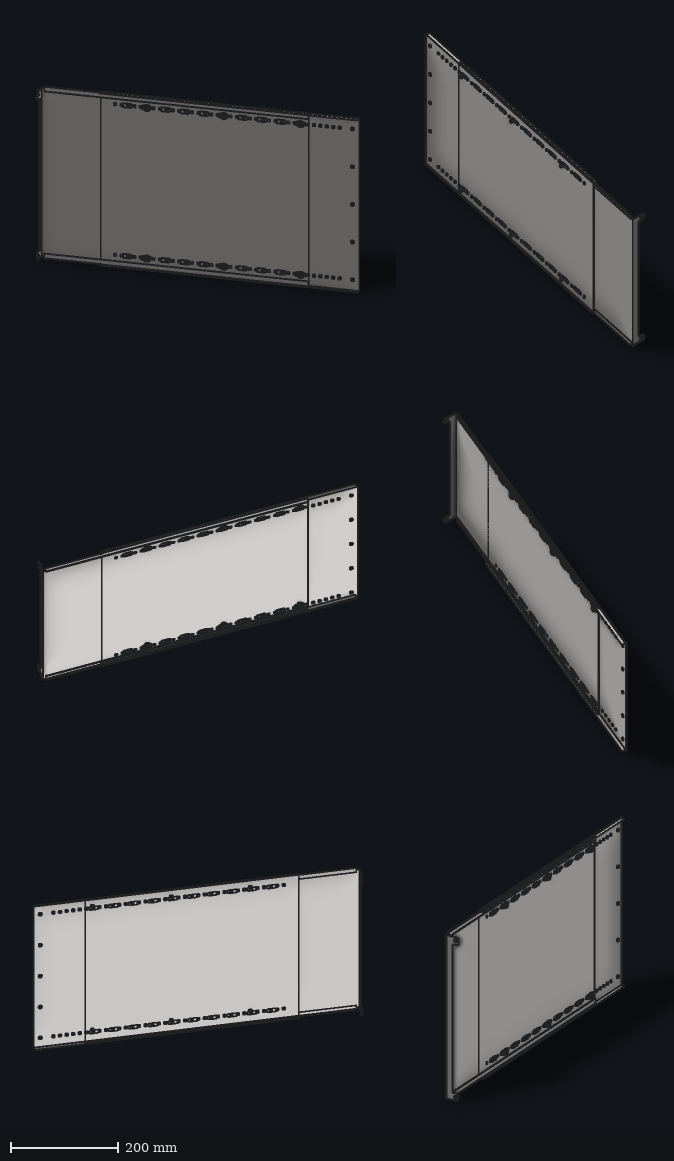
import cadquery as cq
import math

length = 620.0
height = 344.5
sheet = 1.5
half_height = height / 2

end_hole_pitch = 75.0
step = end_hole_pitch / 6
row_z = 2 * end_hole_pitch
end_hole_x = 607.0
first_grid_step = 2
last_grid_step = 37

slot_count = 10
slot_spacing = 3
first_slot_step = 8
slot_steps = [first_slot_step + slot_spacing * k for k in range(slot_count)]
bolt_steps = slot_steps[::4]
slot_length = 19.0
slot_width = 8.0
slot_shift = 2.0

bolt_hole_dia = 6.0
grid_hole_dia = 5.25
end_hole_dia = 6.0

back_left = 116.0
back_flange_depth = 8.5
flange_right_inset = 2.0
flange_end_chamfer = 2.0
flange_edge_round = 1.0

front_right = 522.0
flap_half_height = 167.5
flap_depth = 16.0
hem_left = 7.0
hem_width = 9.0
tab_reach = 30.0
tab_height = 15.5
tab_radius = 5.5
tab_root_radius = 3.0
tab_hole_dia = 7.0
tab_hole_inset = 7.0

shank_dia = bolt_hole_dia
shank_end_y = 6.0
shank_chamfer = 0.9
collar_dia = 12.5
collar_height = 1.0
head_dia = 8.5
head_height = 4.0
socket_size = 4.5
socket_depth = 2.0


def box(x0, x1, y0, y1, z0, z1):
    """A block between two opposite corners."""
    return cq.Workplane("XY").box(x1 - x0, y1 - y0, z1 - z0, centered=False).translate((x0, y0, z0))


def row_points(steps, shift=0):
    """Points at the given grid steps in the upper and the lower row, moved by shift along X."""
    return [(end_hole_x - k * step + shift, side * row_z) for side in (1, -1) for k in steps]


def along_y(y):
    """A workplane at the given y: local x is X, local y is Z, and it faces -Y."""
    return cq.Workplane("XZ", origin=(0, y, 0))


def make_back_flange(side):
    """Long-edge flange toward -Y, with its free corners cut off and its outer free edge rounded."""
    inner = half_height - sheet
    z0, z1 = sorted((side * inner, side * half_height))
    flange = box(back_left, length - flange_right_inset, -back_flange_depth, 0, z0, z1)
    flange = flange.edges("|Z and <Y").chamfer(flange_end_chamfer)
    outer_face = ">Z" if side > 0 else "<Z"
    return flange.faces("<Y").edges(outer_face).fillet(flange_edge_round)


def make_back_panel():
    """Perforated panel with a flange along each long edge."""
    panel = box(back_left, length, -sheet, 0, -half_height, half_height)
    for side in (1, -1):
        panel = panel.union(make_back_flange(side))
    plain_steps = [k for k in range(first_grid_step, last_grid_step + 1) if k not in bolt_steps]
    end_column = [(end_hole_x, k * end_hole_pitch) for k in (-2, -1, 0, 1, 2)]
    for points, diameter in (
        (row_points(bolt_steps), bolt_hole_dia),
        (row_points(plain_steps), grid_hole_dia),
        (end_column, end_hole_dia),
    ):
        panel = panel.cut(along_y(0).pushPoints(points).circle(diameter / 2).extrude(sheet))
    return panel


def make_end_flap():
    """Flap at the left end with a rounded, drilled tab at the top and the bottom."""
    flap = box(0, sheet, -flap_depth, -sheet, -flap_half_height, flap_half_height)
    tab_base = flap_half_height - tab_height
    for side in (1, -1):
        z0, z1 = sorted((side * tab_base, side * flap_half_height))
        tab = box(0, sheet, -tab_reach, -sheet, z0, z1).edges("|X and <Y").fillet(tab_radius)
        hole = (
            cq.Workplane("YZ")
            .center(tab_hole_inset - tab_reach, side * (flap_half_height - tab_hole_inset))
            .circle(tab_hole_dia / 2)
            .extrude(sheet)
        )
        flap = flap.union(tab).cut(hole)
    margin = sheet / 2
    root_box = cq.selectors.BoxSelector(
        (0, -flap_depth - margin, -tab_base - margin),
        (sheet, -flap_depth + margin, tab_base + margin),
    )
    return flap.edges("|X").edges(root_box).fillet(tab_root_radius)


def make_front_panel():
    """Sliding panel with hemmed long edges, an end flap and two rows of slots."""
    front_y = -2 * sheet
    hem_half_height = half_height - sheet
    panel = box(hem_left, front_right, front_y, -sheet, -hem_half_height, hem_half_height)
    panel = panel.union(box(0, hem_left, front_y, -sheet, -flap_half_height, flap_half_height))
    for side in (1, -1):
        z0, z1 = sorted((side * (hem_half_height - hem_width), side * hem_half_height))
        panel = panel.union(box(hem_left, front_right, front_y - sheet, front_y, z0, z1))
    slots = (
        along_y(-sheet)
        .pushPoints(row_points(slot_steps, -slot_shift))
        .slot2D(slot_length, slot_width)
        .extrude(sheet)
    )
    return panel.union(make_end_flap()).cut(slots)


def make_bolt(x, z):
    """Collared bolt with a hexagon socket; its collar clamps the front panel."""
    seat_y = -2 * sheet
    shank = along_y(shank_end_y).circle(shank_dia / 2).extrude(shank_end_y - seat_y)
    shank = shank.faces(">Y").chamfer(shank_chamfer)
    collar = along_y(seat_y).circle(collar_dia / 2).extrude(collar_height)
    head = along_y(seat_y).circle(head_dia / 2).extrude(head_height)
    socket = (
        along_y(seat_y - head_height + socket_depth)
        .polygon(6, socket_size / math.cos(math.pi / 6))
        .extrude(socket_depth)
    )
    return shank.union(collar).union(head).cut(socket).translate((x, 0, z))


back_panel = make_back_panel()
front_panel = make_front_panel()
bolts = [make_bolt(x, z) for x, z in row_points(bolt_steps)]

result = cq.Compound.makeCompound([back_panel.val(), front_panel.val(), *[bolt.val() for bolt in bolts]])